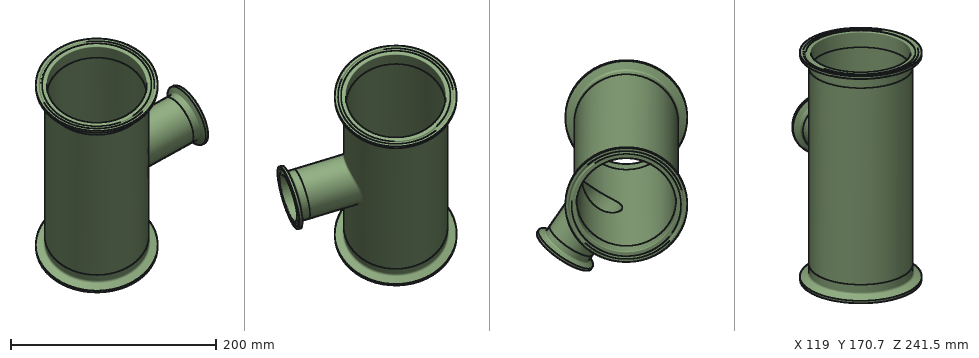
import cadquery as cq

total_height = 241.5
run_outer_radius = 50.81
wall = 2.2
run_flange_radius = 59.5
run_ferrule_length = 16.2

branch_outer_radius = run_outer_radius / 2
branch_flange_radius = 31.99
branch_ferrule_length = 13.0
branch_reach = 111.16
branch_height = total_height / 2
junction_fillet = 2.0

rim_thickness = 3.0
bore_edge_fillet = 0.7
groove_width = 3.1
groove_depth = 1.2
groove_edge_fillet = 0.5
run_groove_radius = 54.8
branch_groove_radius = 27.8

run_flange_depth = 6.3
branch_flange_depth = 5.5
run_neck_fillet = 2.2
branch_neck_fillet = 1.5

edge_margin = 0.02

run_bore_radius = run_outer_radius - wall
branch_bore_radius = branch_outer_radius - wall


def make_ferrule(outer_radius, flange_radius, length, flange_depth, neck_fillet, groove_radius):
    """Ferrule on the Z axis: sealing face at Z = 0, tube end at Z = -length."""
    bore_radius = outer_radius - wall
    body = (
        cq.Workplane("XZ")
        .moveTo(bore_radius, 0)
        .lineTo(flange_radius, 0)
        .lineTo(flange_radius, -rim_thickness)
        .lineTo(outer_radius, -flange_depth)
        .lineTo(outer_radius, -length)
        .lineTo(bore_radius, -length)
        .close()
        .revolve(360, (0, 0, 0), (0, 1, 0))
    )
    neck_corner = cq.selectors.BoxSelector(
        (-flange_radius, -flange_radius, -flange_depth - edge_margin),
        (flange_radius, flange_radius, -flange_depth + edge_margin),
    )
    body = body.edges(neck_corner).fillet(neck_fillet)
    body = body.faces(">Z").edges(cq.selectors.RadiusNthSelector(0)).fillet(bore_edge_fillet)
    inner_edge = groove_radius - groove_width / 2
    outer_edge = groove_radius + groove_width / 2
    groove = (
        cq.Workplane("XZ")
        .moveTo(inner_edge, 0)
        .threePointArc((groove_radius, -groove_depth), (outer_edge, 0))
        .close()
        .revolve(360, (0, 0, 0), (0, 1, 0))
    )
    body = body.cut(groove)
    for edge_radius in (inner_edge, outer_edge):
        groove_edge = cq.selectors.BoxSelector(
            (-edge_radius - edge_margin, -edge_radius - edge_margin, -edge_margin),
            (edge_radius + edge_margin, edge_radius + edge_margin, edge_margin),
            boundingbox=True,
        )
        largest = cq.selectors.RadiusNthSelector(-1)
        body = body.edges("%CIRCLE").edges(groove_edge).edges(largest).fillet(groove_edge_fillet)
    return body


def make_run_ferrule():
    return make_ferrule(
        run_outer_radius,
        run_flange_radius,
        run_ferrule_length,
        run_flange_depth,
        run_neck_fillet,
        run_groove_radius,
    )


def make_branch_ferrule():
    ferrule = make_ferrule(
        branch_outer_radius,
        branch_flange_radius,
        branch_ferrule_length,
        branch_flange_depth,
        branch_neck_fillet,
        branch_groove_radius,
    )
    return ferrule.rotate((0, 0, 0), (1, 0, 0), -90).translate((0, branch_reach, branch_height))


def branch_cylinder(radius):
    """Cylinder from the run axis out to the branch ferrule."""
    length = branch_reach - branch_ferrule_length
    return cq.Workplane("XZ", origin=(0, 0, branch_height)).circle(radius).extrude(-length)


def make_tee():
    """Run tube with its branch, blended outside and bored through."""
    run_length = total_height - 2 * run_ferrule_length
    run_base = cq.Workplane("XY", origin=(0, 0, run_ferrule_length))
    run = run_base.circle(run_outer_radius).extrude(run_length)
    tee = run.union(branch_cylinder(branch_outer_radius))
    junction = cq.selectors.BoxSelector(
        (-run_outer_radius, 0, branch_height - branch_outer_radius - edge_margin),
        (run_outer_radius, run_outer_radius + edge_margin, branch_height + branch_outer_radius + edge_margin),
        boundingbox=True,
    )
    tee = tee.edges(junction).fillet(junction_fillet)
    run_bore = run_base.circle(run_bore_radius).extrude(run_length)
    return tee.cut(run_bore).cut(branch_cylinder(branch_bore_radius))


tee = make_tee()
branch_ferrule = make_branch_ferrule()

run_ferrules = []
for tilt, height in ((0, total_height), (180, 0)):
    ferrule = make_run_ferrule().rotate((0, 0, 0), (1, 0, 0), tilt)
    run_ferrules.append(ferrule.translate((0, 0, height)).val())

result = cq.Compound.makeCompound([tee.val(), branch_ferrule.val(), *run_ferrules])